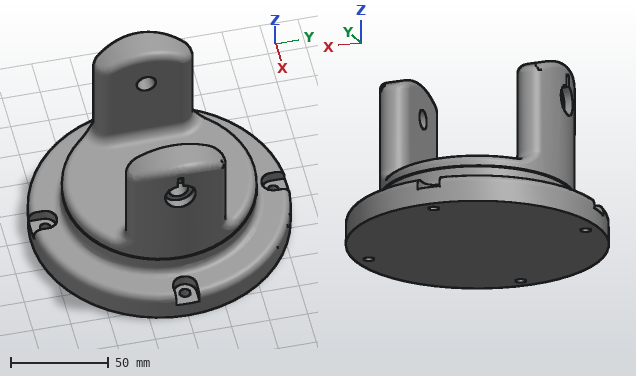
import cadquery as cq
import math

flange_radius = 67.5
flange_height = 15.0
edge_round = 4.0

drum_diameter = 100.0
drum_radius = drum_diameter / 2
drum_top = 32.0
foot_fillet = 4.0
groove_bottom = 25.0
groove_width = 0.5
groove_depth = 0.2
groove_top = groove_bottom + groove_width

ear_top = 92.0
ear_inner_x = 30.0
ear_width = 52.0
ear_end_radius = 8.1
ear_end_angle = 28.0
crown_radius = 40.5
root_fillet = 6.0
root_margin = 0.1

pin_height = 72.0
pin_radius = 5.0
counterbore_radius = 8.0
counterbore_depth = 5.0
key_width = 3.0
key_reach = 14.0

seat_count = 4
seat_circle_radius = 60.0
seat_floor = 9.0
seat_radius = 6.1
screw_radius = 2.7


def ear_outline():
    """Plan of one ear, run outward past the drum wall to a point on the X axis."""
    center_x = ear_inner_x + ear_end_radius
    center_y = ear_width / 2 - ear_end_radius

    def on_end_arc(angle):
        return (
            center_x + ear_end_radius * math.cos(angle),
            center_y + ear_end_radius * math.sin(angle),
        )

    stop = math.radians(ear_end_angle)
    end_x, end_y = on_end_arc(stop)
    middle_x, middle_y = on_end_arc((stop + math.pi) / 2)
    apex_x = end_x + end_y * math.tan(stop)
    return (
        cq.Workplane("XY")
        .moveTo(ear_inner_x, -center_y)
        .lineTo(ear_inner_x, center_y)
        .threePointArc((middle_x, middle_y), (end_x, end_y))
        .lineTo(apex_x, 0)
        .lineTo(end_x, -end_y)
        .threePointArc((middle_x, -middle_y), (ear_inner_x, -center_y))
        .close()
    )


def make_ear():
    """One ear on the +X side, standing on the bottom plane and arched on top."""
    crown_axis = ear_top - crown_radius
    arch = (
        cq.Workplane("YZ")
        .moveTo(-crown_radius, 0)
        .lineTo(-crown_radius, crown_axis)
        .threePointArc((0, ear_top), (crown_radius, crown_axis))
        .lineTo(crown_radius, 0)
        .close()
        .extrude(flange_radius)
    )
    return ear_outline().extrude(ear_top).intersect(arch)


def make_upper_body():
    """Drum top and ears: blended on an oversized plate, trimmed round, then rounded over."""
    plate_size = 2 * flange_radius
    plate = cq.Workplane("XY").box(plate_size, plate_size, drum_top, centered=(True, True, False))
    ear = make_ear()
    blank = plate.union(ear).union(ear.mirror("YZ"))

    root_reach = flange_radius - root_margin
    root_zone = cq.selectors.BoxSelector(
        (-root_reach, -root_reach, drum_top - root_margin),
        (root_reach, root_reach, drum_top + root_margin),
    )
    blank = blank.edges(root_zone).fillet(root_fillet)

    envelope = (
        cq.Workplane("XY", origin=(0, 0, groove_top))
        .circle(drum_radius)
        .extrude(ear_top - groove_top)
    )
    body = blank.intersect(envelope)
    deck = body.faces(cq.selectors.NearestToPointSelector((0, 0, drum_top)))
    rim_edges = deck.edges(">Y or <Y").vals()
    crown_edges = body.faces(">Z").edges().vals()
    return body.newObject(rim_edges + crown_edges).fillet(edge_round)


def make_lower_body():
    """Flange, concave foot, lower drum and groove floor, turned about Z."""
    diagonal = math.sqrt(0.5)
    shoulder_radius = flange_radius - edge_round
    shoulder_height = flange_height - edge_round
    foot_radius = drum_radius + foot_fillet
    foot_top = flange_height + foot_fillet
    core_radius = drum_radius - groove_depth
    profile = (
        cq.Workplane("XZ")
        .lineTo(flange_radius, 0)
        .lineTo(flange_radius, shoulder_height)
        .threePointArc(
            (shoulder_radius + edge_round * diagonal, shoulder_height + edge_round * diagonal),
            (shoulder_radius, flange_height),
        )
        .lineTo(foot_radius, flange_height)
        .threePointArc(
            (foot_radius - foot_fillet * diagonal, foot_top - foot_fillet * diagonal),
            (drum_radius, foot_top),
        )
        .lineTo(drum_radius, groove_bottom)
        .lineTo(core_radius, groove_bottom)
        .lineTo(core_radius, groove_top)
        .lineTo(0, groove_top)
        .close()
    )
    return profile.revolve(360, (0, 0, 0), (0, 1, 0))


def make_pin_cutter():
    """Pin bore along X with a keyed counterbore in the outer side of each ear."""
    bore = cq.Workplane("YZ", origin=(0, 0, pin_height)).circle(pin_radius).extrude(flange_radius, both=True)

    floor_x = drum_radius - counterbore_depth
    floor_plane = cq.Workplane("YZ", origin=(floor_x, 0, pin_height))
    counterbore = floor_plane.circle(counterbore_radius).extrude(flange_radius - floor_x)
    key_radius = key_width / 2
    key_end = key_reach - key_radius
    key = (
        floor_plane.moveTo(-key_radius, 0)
        .lineTo(-key_radius, key_end)
        .threePointArc((0, key_reach), (key_radius, key_end))
        .lineTo(key_radius, 0)
        .close()
        .extrude(flange_radius - floor_x)
    )
    recess = counterbore.union(key)
    return bore.union(recess).union(recess.mirror("YZ"))


def make_seat_cutter():
    """Round-ended seat open to the flange edge, with its screw hole, on the +X side."""
    depth = flange_height - seat_floor
    floor_plane = cq.Workplane("XY", origin=(seat_circle_radius, 0, seat_floor))
    pocket = floor_plane.circle(seat_radius).extrude(depth)
    mouth = floor_plane.box(flange_radius, 2 * seat_radius, depth, centered=(False, True, False))
    hole = cq.Workplane("XY").center(seat_circle_radius, 0).circle(screw_radius).extrude(flange_height)
    return pocket.union(mouth).union(hole)


result = make_lower_body().union(make_upper_body()).cut(make_pin_cutter())
for index in range(seat_count):
    turn = index * 360 / seat_count
    result = result.cut(make_seat_cutter().rotate((0, 0, 0), (0, 0, 1), turn))